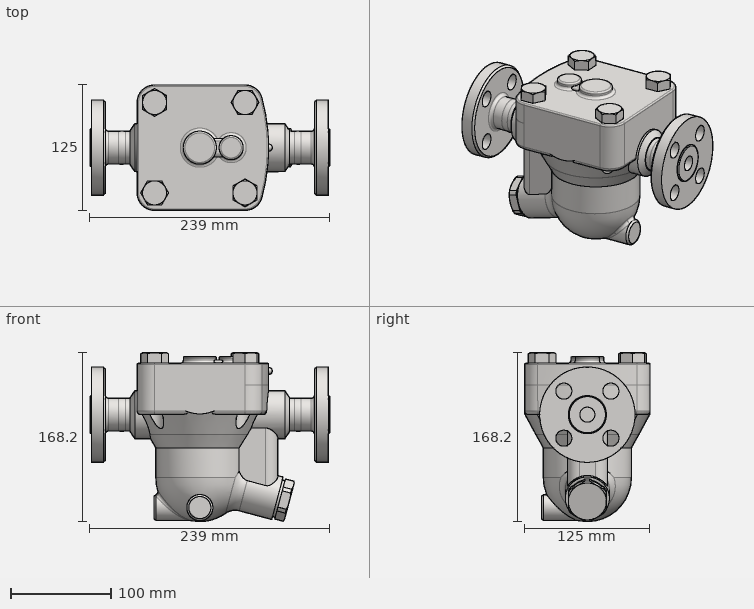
import cadquery as cq
import math


quarter_mid = math.sqrt(0.5)

bowl_radius = 44.0
bowl_bottom = -106.5
dome_z = bowl_bottom + bowl_radius
neck_bottom = -33.0
neck_middle = -19.5
neck_middle_radius = 51.6
neck_flare_radius = 62.1
neck_top = 4.0
neck_slope = (neck_flare_radius - neck_middle_radius) / -neck_middle
neck_top_radius = neck_flare_radius + neck_slope * neck_top

block_half_width = 62.5
bolt_offset = 45.0
corner_radius = block_half_width - bolt_offset
bow_reach = 68.6
foot_bow_reach = 67.9
split_z = 29.7
cover_top = 51.2
block_bottom = 0.0
cover_edge_round = 1.5
block_edge_round = 3.8

bolt_flats = 24.0
bolt_head_height = 10.5
spotface_radius = 9.0
spotface_depth = 20.0
hex_bevel_angle = math.radians(30)

boss_top = 57.9
boss_edge_round = 1.8
large_boss_diameter = 33.0
large_boss_base_diameter = 39.0
small_boss_x = 31.2
small_boss_diameter = 24.0
small_boss_base_diameter = 30.0
bridge_height = 3.4
bridge_half_width = 9.3
bridge_edge_round = 2.8

nub_radius = 3.6
nub_z = 43.5

pipe_middle_x = 10.0
pipe_half_length = 119.5
hub_radius = 24.0
hub_half_length = 74.75
hub_cone_end = 79.3
hub_cone_radius = 17.2
pipe_radius = 16.4
bead_start = 84.2
bead_end = 90.7
bead_height = 0.3
flange_radius = 95.0 / 2
flange_back = 104.1
flange_bevel = 2.0
flange_face = 118.0
raised_face_radius = 38.0 / 2
raised_face_bevel = 1.0
flange_root_round = 3.4
bore_diameter = 15.0
bore_depth = 40.0
flange_hole_diameter = 16.0
flange_hole_circle = 66.3

branch_angle = 15.0
branch_radius = 22.0
branch_length = 80.0
branch_blend = 16.0
collar_radius = 38.0 / 2
collar_end = 82.7
plug_flats = 38.0
plug_turned_radius = 20.75
plug_end = 92.3

rib_half_width = 20.0
rib_reach = 77.6
rib_corner_radius = 12.0
rib_seat = 5.0

stub_radius = 26.0 / 2
stub_reach = 45.8
stub_z = dome_z - 30.0
stub_bevel = 2.0
stub_blend = 3.0


def block_outline(reach, z):
    """Rounded square whose +X side bows out to `reach`, tangent to the corners."""
    gap = reach - bolt_offset
    bow_radius = (gap**2 + bolt_offset**2 - corner_radius**2) / (2 * (gap - corner_radius))
    bow_centre = reach - bow_radius
    tangent_angle = math.atan2(bolt_offset, bolt_offset - bow_centre)
    half_angle = (math.pi / 2 + tangent_angle) / 2

    def corner_point(angle):
        return (
            bolt_offset + corner_radius * math.cos(angle),
            bolt_offset + corner_radius * math.sin(angle),
        )

    tangent_x, tangent_y = corner_point(tangent_angle)
    mid_x, mid_y = corner_point(half_angle)
    left_mid = bolt_offset + corner_radius * quarter_mid
    return (
        cq.Workplane("XY", origin=(0, 0, z))
        .moveTo(-bolt_offset, -block_half_width)
        .lineTo(bolt_offset, -block_half_width)
        .threePointArc((mid_x, -mid_y), (tangent_x, -tangent_y))
        .threePointArc((reach, 0), (tangent_x, tangent_y))
        .threePointArc((mid_x, mid_y), (bolt_offset, block_half_width))
        .lineTo(-bolt_offset, block_half_width)
        .threePointArc((-left_mid, left_mid), (-block_half_width, bolt_offset))
        .lineTo(-block_half_width, -bolt_offset)
        .threePointArc((-left_mid, -left_mid), (-bolt_offset, -block_half_width))
        .close()
    )


def make_block():
    cover = block_outline(bow_reach, split_z).extrude(cover_top - split_z)
    cover = cover.faces(">Z").edges().fillet(cover_edge_round)
    foot = block_outline(foot_bow_reach, block_bottom).wires().vals()[0]
    rim = block_outline(bow_reach, split_z).wires().vals()[0]
    body = cq.Workplane(cq.Solid.makeLoft([foot, rim], True))
    body = body.faces("<Z").edges().fillet(block_edge_round)
    return body.union(cover)


def make_bowl():
    dome_mid = bowl_radius * quarter_mid
    profile = (
        cq.Workplane("XZ")
        .moveTo(0, bowl_bottom)
        .threePointArc((dome_mid, dome_z - dome_mid), (bowl_radius, dome_z))
        .lineTo(bowl_radius, neck_bottom)
        .lineTo(neck_middle_radius, neck_middle)
        .lineTo(neck_top_radius, neck_top)
        .lineTo(0, neck_top)
        .close()
    )
    bowl = profile.revolve(360, (0, 0, 0), (0, 1, 0))
    envelope = block_outline(foot_bow_reach, bowl_bottom).extrude(neck_top - bowl_bottom)
    return bowl.intersect(envelope)


def hex_head(across_flats, height, turn=0):
    """Hexagonal head on the XY plane with its top corners bevelled."""
    corner_diameter = across_flats / math.cos(math.pi / 6)
    head = cq.Workplane("XY").polygon(6, corner_diameter).extrude(height)
    bevel_drop = (corner_diameter - across_flats) / 2 * math.tan(hex_bevel_angle)
    bevel = (
        cq.Workplane("XZ")
        .lineTo(corner_diameter / 2, 0)
        .lineTo(corner_diameter / 2, height - bevel_drop)
        .lineTo(across_flats / 2, height)
        .lineTo(0, height)
        .close()
        .revolve(360, (0, 0, 0), (0, 1, 0))
    )
    return head.intersect(bevel).rotate((0, 0, 0), (0, 0, 1), turn)


def make_bolts():
    bolts = cq.Workplane("XY")
    for side_x in (-1, 1):
        for side_y in (-1, 1):
            turn = 0 if side_x == side_y else 30
            head = hex_head(bolt_flats, bolt_head_height, turn)
            place = (side_x * bolt_offset, side_y * bolt_offset, cover_top)
            bolts.add(head.translate(place))
    return bolts.combine()


def make_spotfaces():
    spots = [(x, y) for x in (-bolt_offset, bolt_offset) for y in (-bolt_offset, bolt_offset)]
    return (
        cq.Workplane("XY", origin=(0, 0, block_bottom))
        .pushPoints(spots)
        .circle(spotface_radius)
        .extrude(-spotface_depth)
    )


def flared_boss(x, diameter, base_diameter):
    """Round boss on the cover with a concave flare at its foot."""
    radius = diameter / 2
    flare = base_diameter / 2 - radius
    flare_sag = flare * (1 - quarter_mid)
    round_sag = boss_edge_round * (1 - quarter_mid)
    height = boss_top - cover_top
    return (
        cq.Workplane("XZ", origin=(x, 0, cover_top))
        .lineTo(radius + flare, 0)
        .threePointArc((radius + flare_sag, flare_sag), (radius, flare))
        .lineTo(radius, height - boss_edge_round)
        .threePointArc((radius - round_sag, height - round_sag), (radius - boss_edge_round, height))
        .lineTo(0, height)
        .close()
        .revolve(360, (0, 0, 0), (0, 1, 0))
    )


def make_bridge():
    """Bar joining the two cover bosses, rounded along both top edges."""
    return (
        cq.Workplane("XY", origin=(small_boss_x / 2, 0, cover_top))
        .box(small_boss_x, 2 * bridge_half_width, bridge_height, centered=(True, True, False))
        .edges("|X and >Z")
        .fillet(bridge_edge_round)
    )


def make_pipe_half():
    """Half of the pipe along +X, from its middle to the flange face."""
    root_sag = flange_root_round * (1 - quarter_mid)
    pipe = (
        cq.Workplane("XY")
        .lineTo(0, hub_radius)
        .lineTo(hub_half_length, hub_radius)
        .lineTo(hub_cone_end, hub_cone_radius)
        .lineTo(hub_cone_end, pipe_radius)
        .lineTo(bead_start, pipe_radius)
        .threePointArc(((bead_start + bead_end) / 2, pipe_radius + bead_height), (bead_end, pipe_radius))
        .lineTo(flange_back - flange_root_round, pipe_radius)
        .threePointArc(
            (flange_back - root_sag, pipe_radius + root_sag),
            (flange_back, pipe_radius + flange_root_round),
        )
        .lineTo(flange_back, flange_radius - flange_bevel)
        .lineTo(flange_back + flange_bevel, flange_radius)
        .lineTo(flange_face, flange_radius)
        .lineTo(flange_face, raised_face_radius)
        .lineTo(pipe_half_length - raised_face_bevel, raised_face_radius)
        .lineTo(pipe_half_length, raised_face_radius - raised_face_bevel)
        .lineTo(pipe_half_length, 0)
        .close()
        .revolve(360, (0, 0, 0), (1, 0, 0))
    )
    bolt_holes = (
        cq.Workplane("YZ", origin=(flange_back, 0, 0))
        .polarArray(flange_hole_circle / 2, 45, 360, 4)
        .circle(flange_hole_diameter / 2)
        .extrude(pipe_half_length - flange_back)
    )
    return pipe.cut(bolt_holes)


def make_pipe():
    half = make_pipe_half()
    return half.union(half.mirror("YZ")).translate((pipe_middle_x, 0, 0))


def make_bores():
    bores = cq.Workplane("XY")
    for side in (-1, 1):
        bore = (
            cq.Workplane("YZ", origin=(pipe_middle_x + side * pipe_half_length, 0, 0))
            .circle(bore_diameter / 2)
            .extrude(-side * bore_depth)
        )
        bores.add(bore)
    return bores.combine()


def make_branch():
    """Strainer branch built along +Z, then swung to point along +X and down."""
    blend_r = branch_radius + branch_blend
    dome_reach = bowl_radius + branch_blend
    blend_z = math.sqrt(dome_reach**2 - blend_r**2)
    dome_touch = (blend_r * bowl_radius / dome_reach, blend_z * bowl_radius / dome_reach)
    mid_angle = (math.pi + math.atan2(-blend_z, -blend_r) + 2 * math.pi) / 2
    blend_mid = (
        blend_r + branch_blend * math.cos(mid_angle),
        blend_z + branch_blend * math.sin(mid_angle),
    )
    tube = (
        cq.Workplane("XZ")
        .lineTo(*dome_touch)
        .threePointArc(blend_mid, (branch_radius, blend_z))
        .lineTo(branch_radius, branch_length)
        .lineTo(collar_radius, branch_length)
        .lineTo(collar_radius, collar_end)
        .lineTo(0, collar_end)
        .close()
        .revolve(360, (0, 0, 0), (0, 1, 0))
    )
    plug_height = plug_end - collar_end
    turned = cq.Workplane("XY").circle(plug_turned_radius).extrude(plug_height)
    plug = hex_head(plug_flats, plug_height).intersect(turned)
    branch = tube.union(plug.translate((0, 0, collar_end)))
    swing = 90 + branch_angle
    return branch.rotate((0, 0, 0), (0, 1, 0), swing).translate((0, 0, dome_z))


def make_rib():
    foot_z = dome_z + rib_seat
    foot_drop = rib_reach * math.tan(math.radians(branch_angle))
    return (
        cq.Workplane("XZ")
        .lineTo(rib_reach, 0)
        .lineTo(rib_reach, foot_z - foot_drop)
        .lineTo(0, foot_z)
        .close()
        .extrude(rib_half_width, both=True)
        .edges("|Z and >X")
        .fillet(rib_corner_radius)
    )


def make_stub(plane, reach):
    """Horizontal drain stub; the sign of `reach` picks its side of the plane."""
    stub = cq.Workplane(plane, origin=(0, 0, stub_z)).circle(stub_radius).extrude(reach)
    end_face = "<X" if plane == "YZ" else "<Y"
    return stub.faces(end_face).chamfer(stub_bevel)


def add_drain_stubs(bowl):
    """Join both stubs to the bowl; only the -X one is blended into the dome."""
    blended = bowl.union(make_stub("YZ", -stub_reach))
    seam_box = cq.selectors.BoxSelector(
        (-stub_reach + stub_bevel, -stub_radius, bowl_bottom),
        (0, stub_radius, stub_z + stub_radius),
    )
    seam = blended.edges(seam_box).edges("not %CIRCLE").edges("not %LINE")
    return seam.fillet(stub_blend).union(make_stub("XZ", stub_reach))


def make_cover_bosses():
    large = flared_boss(0, large_boss_diameter, large_boss_base_diameter)
    small = flared_boss(small_boss_x, small_boss_diameter, small_boss_base_diameter)
    return large.union(small).union(make_bridge())


def make_nub():
    return cq.Workplane("XY").sphere(nub_radius).translate((bow_reach, 0, nub_z))


result = add_drain_stubs(make_bowl())
result = result.cut(make_spotfaces()).union(make_block()).union(make_bolts())
result = result.union(make_cover_bosses()).union(make_nub())
result = result.union(make_rib()).union(make_pipe()).union(make_branch())
result = result.cut(make_bores())